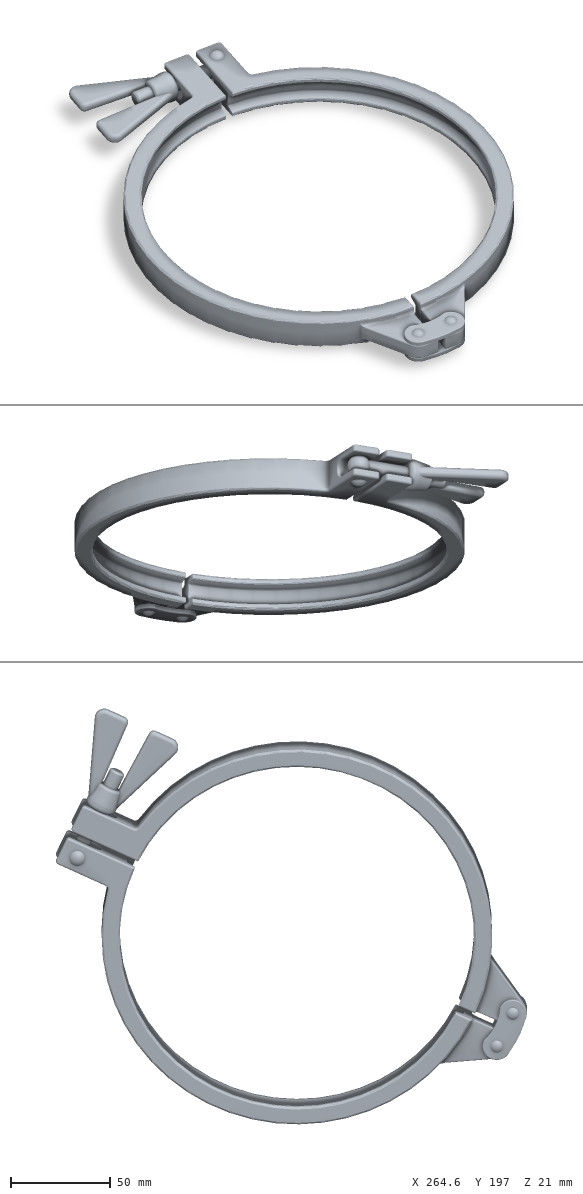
import cadquery as cq
import math


ring_diameter = 197.0
lip_radius = 89.5
groove_radius = 94.0
ring_height = 16.7
split_gap = 3.7
edge_round = 1.0
lip_width = 3.0
groove_flank_angle = 20.0
lip_round = 0.5
overlap = 2.6
ring_radius = ring_diameter / 2
half_height = ring_height / 2
groove_mouth = half_height - lip_width

lug_end_x = -127.0
lug_side_y = 16.7
corner_round = 1.5
lug_root_round = 2.0
slot_edge_round = 0.8
slot_half_width = 4.5
slot_end_x = -108.2

bolt_x = -118.0
pin_y = 9.5
bolt_radius = 4.0
bolt_end_y = -38.5
bolt_chamfer = 0.8
eye_radius = 5.8
shank_radius = 2.5
pin_head_radius = 4.0
pin_half_length = 10.5

nut_radius = 8.0
nut_round = 2.5
nut_shoulder_y = -20.5
nut_small_end_radius = 6.3
nut_end_y = -29.5
nut_end_round = 1.5
wing_end_y = -65.5
wing_tip_inner = 6.0
wing_tip_outer = 24.9
wing_root_inner = 4.2
wing_root_outer = 8.0
wing_thickness = 5.3
wing_round = 2.0
wing_outer_corner = 4.8
wing_inner_corner = 2.6

rivet_x = 115.9
rivet_y = 9.5
hinge_radius = 7.1
hinge_slope = 30.0
hinge_half_thickness = 4.2
hinge_gap = 4.2
hinge_edge_round = 0.8
hinge_blend = 1.5
plate_thickness = 2.5
plate_end_radius = 7.1
plate_inner_bow = 1.9
plate_outer_bow = 0.8
plate_edge_round = 0.5
rivet_head_radius = 3.2
rivet_half_length = 8.2


def lug_box(inner_x, half_depth):
    """Selector for edges of the clamping lug centred outside inner_x and within +/- half_depth of Z = 0."""
    return cq.selectors.BoxSelector(
        (lug_end_x - overlap, 0, -half_depth),
        (inner_x, lug_side_y + overlap, half_depth),
    )


def half_blank():
    """Half ring with its clamping lug, solid between the lips' bore and the outside."""
    lug = (
        cq.Workplane("XY")
        .box(-lug_end_x, lug_side_y, ring_height, centered=(False, False, True))
        .translate((lug_end_x, 0, 0))
    )
    bore = cq.Workplane("XY").circle(lip_radius).extrude(half_height, both=True)
    half_space = (
        cq.Workplane("XY")
        .box(4 * ring_radius, 2 * ring_radius, ring_height, centered=(True, False, True))
        .translate((0, split_gap / 2, 0))
    )
    blank = (
        cq.Workplane("XY").circle(ring_radius).extrude(half_height, both=True)
        .union(lug)
        .cut(bore)
        .intersect(half_space)
    )
    root = cq.selectors.NearestToPointSelector((-ring_radius, lug_side_y, 0))
    blank = blank.edges("|Z").edges(root).fillet(lug_root_round)
    blank = blank.edges("|Z").edges(lug_box(lug_end_x + overlap, half_height)).fillet(corner_round)
    return blank.faces("<Z or >Z").edges().fillet(edge_round)


def groove_cutter():
    """V groove that runs round the bore."""
    flank_drop = (groove_radius - lip_radius) * math.tan(math.radians(groove_flank_angle))
    floor = groove_mouth - flank_drop
    inside = lip_radius - overlap
    profile = [
        (inside, -groove_mouth), (lip_radius, -groove_mouth), (groove_radius, -floor),
        (groove_radius, floor), (lip_radius, groove_mouth), (inside, groove_mouth),
    ]
    ring = cq.Workplane("XZ").polyline(profile).close().revolve(360, (0, 0, 0), (0, 1, 0))
    floor_edges = cq.selectors.RadiusNthSelector(-1)
    return ring.edges(floor_edges).fillet(edge_round)


def is_lip_corner(edge):
    """True for the arcs where the lips' bore meets the groove flanks."""
    at_bore = math.isclose(edge.radius(), lip_radius, rel_tol=1e-6)
    return at_bore and math.isclose(abs(edge.Center().z), groove_mouth, rel_tol=1e-6)


def lug_slot_cutter():
    """Slot for the eye bolt, open at the lug end, with a round closed end."""
    depth = lug_side_y + overlap
    round_x = slot_end_x - slot_half_width
    start_x = lug_end_x - overlap
    return (
        cq.Workplane("XZ")
        .moveTo(start_x, -slot_half_width)
        .lineTo(round_x, -slot_half_width)
        .threePointArc((slot_end_x, 0), (round_x, slot_half_width))
        .lineTo(start_x, slot_half_width)
        .close()
        .extrude(-depth)
    )


def hinge_outline():
    """Plan of the hinge lug, tapering from the ring to a round about its rivet."""
    slope = math.radians(hinge_slope)
    tangent_x = rivet_x + hinge_radius * math.sin(slope)
    tangent_y = rivet_y + hinge_radius * math.cos(slope)
    root_x = (lip_radius + groove_radius) / 2
    root_y = tangent_y + (tangent_x - root_x) * math.tan(slope)
    middle = (math.pi / 2 - slope) / 2
    round_middle = (
        rivet_x + hinge_radius * math.cos(middle),
        rivet_y + hinge_radius * math.sin(middle),
    )
    return (
        cq.Workplane("XY")
        .moveTo(root_x, hinge_gap / 2)
        .lineTo(rivet_x + hinge_radius, hinge_gap / 2)
        .lineTo(rivet_x + hinge_radius, rivet_y)
        .threePointArc(round_middle, (tangent_x, tangent_y))
        .lineTo(root_x, root_y)
        .close()
    )


def hinge_lug():
    """Thin lug with rounded edges, its flat faces blended into the ring wall."""
    lug = hinge_outline().extrude(hinge_half_thickness, both=True)
    lug = lug.faces("<Z or >Z").edges().fillet(hinge_edge_round)
    inner = ring_radius - hinge_edge_round
    blend_top = hinge_half_thickness + hinge_blend
    blend_end = ring_radius + hinge_blend
    arc_inset = hinge_blend * (1 - math.sqrt(0.5))
    arc_middle = (ring_radius + arc_inset, hinge_half_thickness + arc_inset)
    blend = (
        cq.Workplane("XZ")
        .moveTo(inner, 0)
        .lineTo(inner, blend_top)
        .lineTo(ring_radius, blend_top)
        .threePointArc(arc_middle, (blend_end, hinge_half_thickness))
        .lineTo(blend_end, 0)
        .close()
        .revolve(360, (0, 0, 0), (0, 1, 0))
    )
    blend = blend.union(blend.mirror("XY"))
    footprint = hinge_outline().extrude(half_height, both=True)
    bore = cq.Workplane("XY").circle(groove_radius + overlap).extrude(half_height, both=True)
    return lug.union(blend.intersect(footprint)).cut(bore)


def pin_hole(x, y):
    return cq.Workplane("XY").center(x, y).circle(shank_radius).extrude(half_height, both=True)


def clamp_half():
    half = half_blank().cut(groove_cutter())
    half = half.edges("%CIRCLE").filter(is_lip_corner).fillet(lip_round)
    half = half.cut(lug_slot_cutter())
    slot_rim = lug_box(slot_end_x + overlap, slot_half_width + slot_edge_round)
    half = half.edges(slot_rim).edges("(not |Y) or <X").fillet(slot_edge_round)
    half = half.union(hinge_lug())
    return half.cut(pin_hole(rivet_x, rivet_y))


def domed_pin(x, y, head_radius, head_base, half_length):
    """Pin along Z whose two domed heads rest at +/- head_base."""
    dome_height = half_length - head_base
    dome_radius = (head_radius**2 + dome_height**2) / (2 * dome_height)
    body = cq.Workplane("XY").circle(shank_radius).extrude(head_base, both=True)
    for side in (-1, 1):
        ball = cq.Workplane("XZ").sphere(dome_radius).translate((0, 0, side * (half_length - dome_radius)))
        head_space = (
            cq.Workplane("XY", origin=(0, 0, side * head_base))
            .circle(head_radius + overlap)
            .extrude(side * (dome_height + overlap))
        )
        body = body.union(ball.intersect(head_space))
    return body.translate((x, y, 0))


def eye_bolt():
    """Bolt along -Y with a ball eye, flattened to fit the slot, about the clamp pin."""
    shaft = (
        cq.Workplane("XZ", origin=(bolt_x, pin_y, 0))
        .circle(bolt_radius)
        .extrude(pin_y - bolt_end_y)
        .faces("<Y")
        .chamfer(bolt_chamfer)
    )
    eye = cq.Workplane("XY").sphere(eye_radius).translate((bolt_x, pin_y, 0))
    slot_space = (
        cq.Workplane("XY")
        .box(4 * eye_radius, 4 * eye_radius, 2 * slot_half_width)
        .translate((bolt_x, pin_y, 0))
    )
    return shaft.union(eye.intersect(slot_space)).cut(pin_hole(bolt_x, pin_y))


def nut_wing(side):
    """Tapered wing on one side of the bolt axis: side is -1 or 1."""
    outline = [
        (bolt_x + side * wing_root_inner, nut_shoulder_y),
        (bolt_x + side * wing_root_outer, nut_shoulder_y),
        (bolt_x + side * wing_tip_outer, wing_end_y),
        (bolt_x + side * wing_tip_inner, wing_end_y),
    ]
    wing = cq.Workplane("XY").polyline(outline).close().extrude(wing_thickness / 2, both=True)
    for offset, corner in ((wing_tip_outer, wing_outer_corner), (wing_tip_inner, wing_inner_corner)):
        tip = cq.selectors.NearestToPointSelector((bolt_x + side * offset, wing_end_y, 0))
        wing = wing.edges("|Z").edges(tip).fillet(corner)
    return wing.faces("<Z or >Z").edges().fillet(wing_round)


def wing_nut():
    hub = (
        cq.Workplane("XY")
        .moveTo(0, -lug_side_y)
        .lineTo(nut_radius, -lug_side_y)
        .lineTo(nut_radius, nut_shoulder_y)
        .lineTo(nut_small_end_radius, nut_end_y)
        .lineTo(0, nut_end_y)
        .close()
        .revolve(360, (0, 0, 0), (0, 1, 0))
        .translate((bolt_x, 0, 0))
    )
    hub = hub.faces(">Y").edges().fillet(nut_round)
    hub = hub.faces("<Y").edges().fillet(nut_end_round)
    for side in (-1, 1):
        hub = hub.union(nut_wing(side))
    thread = (
        cq.Workplane("XZ", origin=(bolt_x, 0, 0))
        .circle(bolt_radius)
        .extrude(-bolt_end_y)
    )
    return hub.cut(thread)


def link_plate(side):
    """Slightly bowed plate across both hinge lugs: side is 1 above them and -1 below."""
    inner_x = rivet_x - plate_end_radius
    outer_x = rivet_x + plate_end_radius
    end_y = rivet_y + plate_end_radius
    plate = (
        cq.Workplane("XY")
        .moveTo(inner_x, rivet_y)
        .threePointArc((inner_x + plate_inner_bow, 0), (inner_x, -rivet_y))
        .threePointArc((rivet_x, -end_y), (outer_x, -rivet_y))
        .threePointArc((outer_x + plate_outer_bow, 0), (outer_x, rivet_y))
        .threePointArc((rivet_x, end_y), (inner_x, rivet_y))
        .close()
        .extrude(plate_thickness)
        .faces(">Z")
        .edges()
        .fillet(plate_edge_round)
        .translate((0, 0, hinge_half_thickness))
    )
    for hole_side in (-1, 1):
        plate = plate.cut(pin_hole(rivet_x, hole_side * rivet_y))
    return plate if side > 0 else plate.mirror("XY")


half = clamp_half()
pinned_half = half.cut(pin_hole(bolt_x, pin_y))
bolted_half = half.mirror("XZ")
pin = domed_pin(bolt_x, pin_y, pin_head_radius, half_height, pin_half_length)
bolt = eye_bolt()
nut = wing_nut()
plates = [link_plate(side) for side in (1, -1)]
plate_face = hinge_half_thickness + plate_thickness
rivets = [
    domed_pin(rivet_x, side * rivet_y, rivet_head_radius, plate_face, rivet_half_length)
    for side in (1, -1)
]

bodies = [pinned_half, bolted_half, pin, bolt, nut, *plates, *rivets]
result = cq.Compound.makeCompound([body.val() for body in bodies])